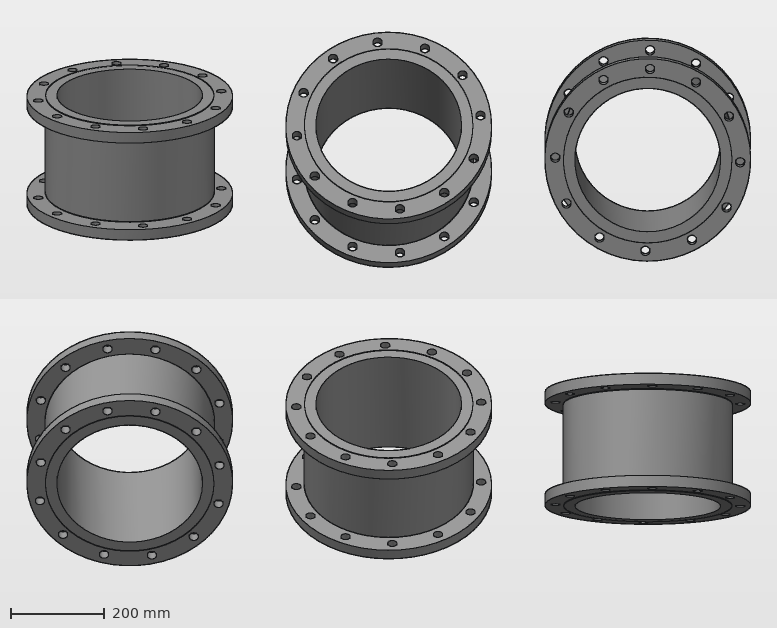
import cadquery as cq

flange_diameter = 440.0
total_height = 250.0

flange_thickness = 24.0
raised_face_diameter = 360.0
raised_face_height = 1.8

barrel_diameter = 363.0
barrel_end_diameter = raised_face_diameter
barrel_cone_height = 2.0

groove_floor_diameter = 343.0
groove_width = 1.8

bore_diameter = 311.0

bolt_count = 12
bolt_circle_diameter = 395.0
bolt_hole_diameter = 20.0
first_bolt_angle = 180 / bolt_count


def lower_outline():
    """(diameter, height) corners of one end, from the bottom face up to the barrel."""
    flange_bottom = raised_face_height
    flange_top = flange_bottom + flange_thickness
    barrel_end = flange_top + groove_width
    return [
        (bore_diameter, 0),
        (raised_face_diameter, 0),
        (raised_face_diameter, flange_bottom),
        (flange_diameter, flange_bottom),
        (flange_diameter, flange_top),
        (groove_floor_diameter, flange_top),
        (groove_floor_diameter, barrel_end),
        (barrel_end_diameter, barrel_end),
        (barrel_diameter, barrel_end + barrel_cone_height),
    ]


def pipe_body():
    """Wall section, symmetric about mid-height, revolved about Z."""
    lower = lower_outline()
    upper = [(diameter, total_height - height) for diameter, height in reversed(lower)]
    points = [(-diameter / 2, height) for diameter, height in lower + upper]
    return cq.Workplane("XZ").polyline(points).close().revolve(360, (0, 0, 0), (0, 1, 0))


def bolt_holes():
    return (
        cq.Workplane("XY")
        .polarArray(bolt_circle_diameter / 2, first_bolt_angle, 360, bolt_count)
        .circle(bolt_hole_diameter / 2)
        .extrude(total_height)
    )


result = pipe_body().cut(bolt_holes())